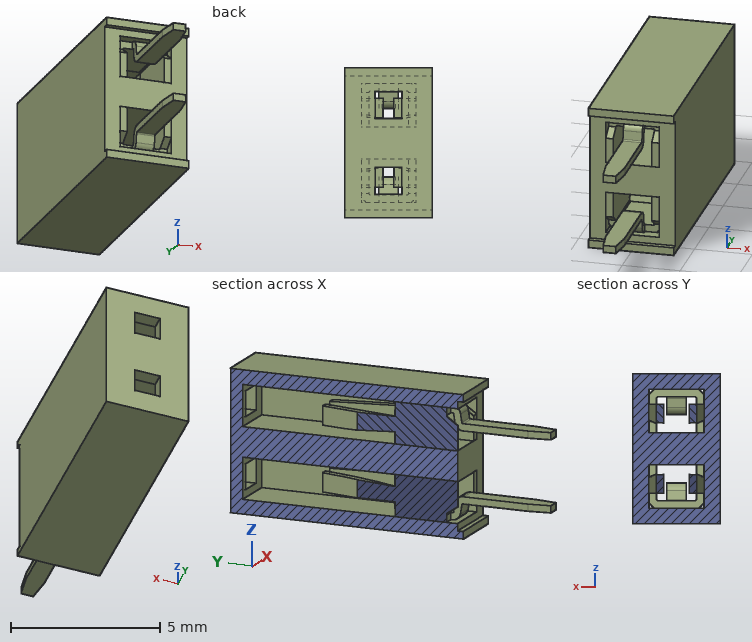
import cadquery as cq
import math


width = 2.94
height = 5.04
front_to_back = 8.3
lip_depth = 0.2
lip_height = 0.28

row_offset = 1.271

pocket_width = 1.84
pocket_bottom = 0.54
pocket_top = 1.99
back_wall = 0.46
opening_size = 0.9

sheet = 0.25
inner_bend = 0.05
outer_bend = sheet + inner_bend
corner_outer = 0.16
corner_inner = 0.03
cage_length = 2.3
plate_setback = 0.4
side_slope_bottom = 1.41
side_slope_top = 1.69

tail_width = 0.65
tail_tip_width = 0.44
tail_taper = 0.79
overall_length = 11.5
tail_reach = overall_length - front_to_back
riser_tilt = math.radians(9)

arm_tip_bottom = 0.83
arm_root_bottom = 0.94
arm_top = 1.5
arm_gap = 0.37
arm_angle = math.radians(10)

cage_inner_half = pocket_width / 2 - sheet
plate_bottom = pocket_top - sheet


def box(size_x, y_min, y_max, z_min, z_max):
    """Block centred on X between the given Y and Z limits."""
    return cq.Workplane("XY", origin=(0, y_min, z_min)).box(
        size_x, y_max - y_min, z_max - z_min, centered=(True, False, False)
    )


def make_housing():
    """Block with a lip along the top and bottom of its front, and a cavity for each contact."""
    body = box(width, -lip_depth, front_to_back, -height / 2, height / 2)
    lip_inner = height / 2 - lip_height
    body = body.cut(box(width, -lip_depth, 0, -lip_inner, lip_inner))
    half_opening = opening_size / 2
    upper_cavity = box(pocket_width, 0, front_to_back - back_wall, pocket_bottom, pocket_top).union(
        box(opening_size, 0, front_to_back, row_offset - half_opening, row_offset + half_opening)
    )
    return body.cut(upper_cavity).cut(upper_cavity.mirror("XY"))


def make_cage():
    """Plate on the outer side of the pocket with two side walls, whose fronts slope back to the plate."""
    outer = box(pocket_width, 0, cage_length, pocket_bottom, pocket_top)
    outer = outer.edges("|Y and >Z").chamfer(corner_outer)
    inner = box(2 * cage_inner_half, 0, cage_length, pocket_bottom - sheet, plate_bottom)
    inner = inner.edges("|Y and >Z").chamfer(corner_inner)
    front_relief = (
        cq.Workplane("YZ")
        .moveTo(0, side_slope_bottom)
        .lineTo(plate_setback, side_slope_top)
        .lineTo(plate_setback, pocket_top)
        .lineTo(0, pocket_top)
        .close()
        .extrude(pocket_width / 2, both=True)
    )
    return outer.cut(inner).cut(front_relief)


def make_tail():
    """Strip that leaves the plate, bends down the riser and runs forward as the tail."""
    tail_top = row_offset + sheet / 2
    tail_bottom = tail_top - sheet
    slope = math.tan(riser_tilt)
    riser_depth = sheet / math.cos(riser_tilt)

    def riser_front(z):
        return (z - tail_top) * slope

    def riser_back(z):
        return riser_front(z) + riser_depth

    strip = (
        cq.Workplane("YZ")
        .moveTo(-tail_reach, tail_bottom)
        .lineTo(riser_back(tail_bottom), tail_bottom)
        .lineTo(riser_back(plate_bottom), plate_bottom)
        .lineTo(plate_setback, plate_bottom)
        .lineTo(plate_setback, pocket_top)
        .lineTo(riser_front(pocket_top), pocket_top)
        .lineTo(0, tail_top)
        .lineTo(-tail_reach, tail_top)
        .close()
        .extrude(tail_width / 2, both=True)
    )

    def bend_edge(y, z):
        return cq.selectors.NearestToPointSelector((0, y, z))

    for y, z, radius in (
        (riser_back(tail_bottom), tail_bottom, outer_bend),
        (riser_front(pocket_top), pocket_top, outer_bend),
        (riser_back(plate_bottom), plate_bottom, inner_bend),
        (0, tail_top, inner_bend),
    ):
        strip = strip.edges("|X").edges(bend_edge(y, z)).fillet(radius)

    tip_cut = (
        cq.Workplane("XY")
        .moveTo(tail_width / 2, -tail_reach + tail_taper)
        .lineTo(tail_tip_width / 2, -tail_reach)
        .lineTo(tail_width / 2, -tail_reach)
        .close()
        .extrude(height)
    )
    return strip.cut(tip_cut).cut(tip_cut.mirror("YZ"))


def make_arm():
    """Spring arm on the +X side, leaning inward from the side wall toward the back."""
    tip_y = cage_length + (cage_inner_half - arm_gap / 2) / math.tan(arm_angle)
    root_y = cage_length - sheet
    tip_x = arm_gap / 2
    thickness_x = sheet / math.cos(arm_angle)
    plan = (
        cq.Workplane("XY")
        .moveTo(cage_inner_half, cage_length)
        .lineTo(tip_x, tip_y)
        .lineTo(tip_x + thickness_x, tip_y)
        .lineTo(pocket_width / 2, cage_length)
        .lineTo(pocket_width / 2, root_y)
        .lineTo(cage_inner_half, root_y)
        .close()
        .extrude(arm_top)
    )
    side = (
        cq.Workplane("YZ")
        .moveTo(tip_y + sheet, arm_top)
        .lineTo(tip_y + sheet, arm_tip_bottom)
        .lineTo(tip_y, arm_tip_bottom)
        .tangentArcPoint((cage_length, arm_root_bottom), relative=False)
        .lineTo(root_y, arm_root_bottom)
        .lineTo(root_y, arm_top)
        .close()
        .extrude(pocket_width / 2)
    )
    return plan.intersect(side)


def make_contact(row):
    """Contact of the upper or lower row: cage, solder tail and a pair of spring arms in one piece."""
    arm = make_arm()
    contact = make_cage().union(make_tail()).union(arm).union(arm.mirror("YZ"))
    if row == "lower":
        return contact.mirror("XY")
    return contact


housing = make_housing()
contacts = [make_contact(row) for row in ("upper", "lower")]

result = cq.Compound.makeCompound([housing.val(), *[contact.val() for contact in contacts]])